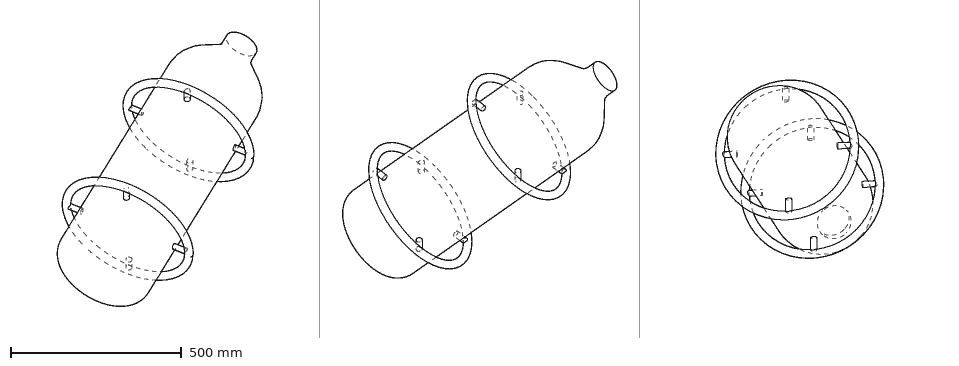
import cadquery as cq
import math

total_length = 950.0
body_radius = 150.0
base_fillet = 50.0
neck_radius = 50.0
shoulder_end = 760.0
shoulder_radius = 100.0
throat_radius = 50.0
cone_angle = math.radians(45)

ring_outer_radius = 213.0
ring_tube_radius = 12.8
ring_positions = (200.0, 600.0)
spoke_radius = 9.0
spoke_offset = 4.3
spoke_count = 4
ring_path_radius = ring_outer_radius - ring_tube_radius


def arc_point(center, radius, angle):
    """Point of an arc in the radius-length plane, angle measured from the radius axis."""
    return (center[0] + radius * math.cos(angle), center[1] + radius * math.sin(angle))


def make_bottle():
    """Solid of revolution: rounded base, body, shoulder, cone, throat and neck."""
    base_center = (body_radius - base_fillet, base_fillet)
    shoulder_center = (body_radius - shoulder_radius, shoulder_end)
    cone_start = arc_point(shoulder_center, shoulder_radius, cone_angle)

    throat_center_radius = neck_radius + throat_radius
    cone_end_radius = throat_center_radius - throat_radius * math.cos(cone_angle)
    cone_end_y = cone_start[1] + (cone_start[0] - cone_end_radius) / math.tan(cone_angle)
    throat_center = (throat_center_radius, cone_end_y + throat_radius * math.sin(cone_angle))

    profile = (
        cq.Workplane("XY")
        .lineTo(base_center[0], 0)
        .threePointArc(
            arc_point(base_center, base_fillet, math.radians(-45)),
            (body_radius, base_fillet),
        )
        .lineTo(body_radius, shoulder_end)
        .threePointArc(arc_point(shoulder_center, shoulder_radius, cone_angle / 2), cone_start)
        .lineTo(cone_end_radius, cone_end_y)
        .threePointArc(
            arc_point(throat_center, throat_radius, math.pi + cone_angle / 2),
            (neck_radius, throat_center[1]),
        )
        .lineTo(neck_radius, total_length)
        .lineTo(0, total_length)
        .close()
    )
    return profile.revolve(360, (0, 0, 0), (0, 1, 0))


def make_ring(y):
    """Round tube bent into a full ring about the bottle axis."""
    ring = cq.Solid.makeTorus(ring_path_radius, ring_tube_radius, cq.Vector(0, y, 0), cq.Vector(0, 1, 0))
    return cq.Workplane("XY").newObject([ring])


def make_spoke(y, angle):
    """Round rod from inside the body to the tube centre, turned about the bottle axis."""
    start = body_radius / 2
    spoke = (
        cq.Workplane("XY", origin=(-spoke_offset, y, start))
        .circle(spoke_radius)
        .extrude(ring_path_radius - start)
    )
    return spoke.rotate((0, 0, 0), (0, 1, 0), angle)


result = make_bottle()
for ring_y in ring_positions:
    result = result.union(make_ring(ring_y), clean=False)
    for index in range(spoke_count):
        result = result.union(make_spoke(ring_y, index * 360 / spoke_count), clean=False)